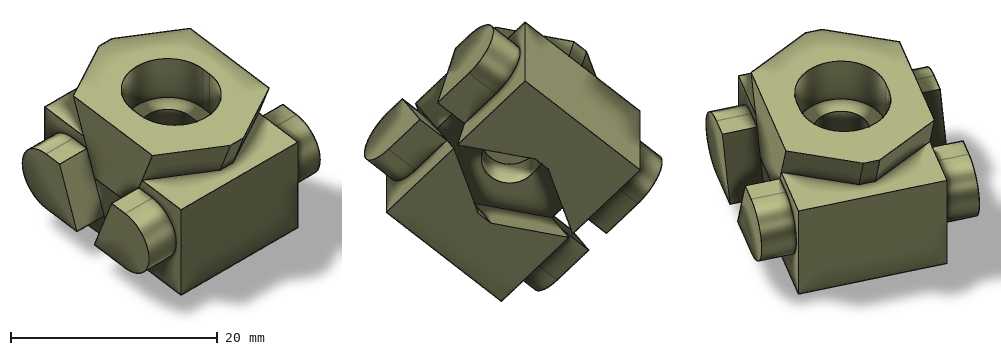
import cadquery as cq
import math

total_height = 15.2
jaw_height = 11.0
jaws_length = 20.0
body_width = 15.0

wedge_height = 8.5
wedge_angle = 20.0
nose_angle = 30.0
shoulder_x = 5.8
nose_x = 9.65

slot_travel = 1.0
hole_diameter = 5.5
counterbore_diameter = 9.0
counterbore_depth = 5.0

lug_radius = 3.5
lug_x = 5.8
lug_z = 6.25
lug_span = 22.0

lean = math.tan(math.radians(wedge_angle))
nose_half_width = body_width / 2 - (nose_x - shoulder_x) / math.tan(math.radians(nose_angle))


def plan_outline(z):
    """Corners of the wedge section at height z, anticlockwise."""
    inset = (total_height - z) * lean
    shoulder = shoulder_x - inset
    nose = nose_x - inset
    side = body_width / 2
    return [
        (nose, -nose_half_width),
        (nose, nose_half_width),
        (shoulder, side),
        (-shoulder, side),
        (-nose, nose_half_width),
        (-nose, -nose_half_width),
        (-shoulder, -side),
        (shoulder, -side),
    ]


def leaning_prism(bottom_z):
    """Solid with the wedge's leaning sides, from bottom_z up to the top face."""
    return (
        cq.Workplane("XY")
        .workplane(offset=bottom_z)
        .polyline(plan_outline(bottom_z))
        .close()
        .workplane(offset=total_height - bottom_z)
        .polyline(plan_outline(total_height))
        .close()
        .loft(ruled=True)
    )


def slot_cutter(diameter, bottom_z):
    """Vertical slot from bottom_z up to the top face."""
    return (
        cq.Workplane("XY")
        .workplane(offset=bottom_z)
        .slot2D(diameter + slot_travel, diameter)
        .extrude(total_height - bottom_z)
    )


def make_wedge():
    bottom_z = total_height - wedge_height
    through_slot = slot_cutter(hole_diameter, bottom_z)
    counterbore = slot_cutter(counterbore_diameter, total_height - counterbore_depth)
    return leaning_prism(bottom_z).cut(through_slot).cut(counterbore)


def make_gap():
    """V-shaped space between the jaws, running the full span of the lugs."""
    bottom_x = shoulder_x - total_height * lean
    return (
        cq.Workplane("XZ")
        .polyline([
            (-bottom_x, 0),
            (bottom_x, 0),
            (shoulder_x, total_height),
            (-shoulder_x, total_height),
        ])
        .close()
        .extrude(lug_span / 2, both=True)
    )


def make_jaw(side):
    """Jaw on the -X (side = -1) or +X (side = 1) half, with its two lugs."""
    block = cq.Workplane("XY").box(
        jaws_length / 2, body_width, jaw_height, centered=(True, True, False)
    ).translate((side * jaws_length / 4, 0, 0))
    round_end = (
        cq.Workplane("XZ")
        .center(side * lug_x, lug_z)
        .circle(lug_radius)
        .extrude(lug_span / 2, both=True)
    )
    straight_part = (
        cq.Workplane("XZ")
        .center(side * lug_x / 2, lug_z)
        .rect(lug_x, 2 * lug_radius)
        .extrude(lug_span / 2, both=True)
    )
    lugs = round_end.union(straight_part)
    wedge_seat = leaning_prism(0)
    return block.union(lugs).cut(make_gap()).cut(wedge_seat)


wedge = make_wedge()
jaws = [make_jaw(side) for side in (-1, 1)]

result = cq.Compound.makeCompound([wedge.solids().val(), *[jaw.solids().val() for jaw in jaws]])